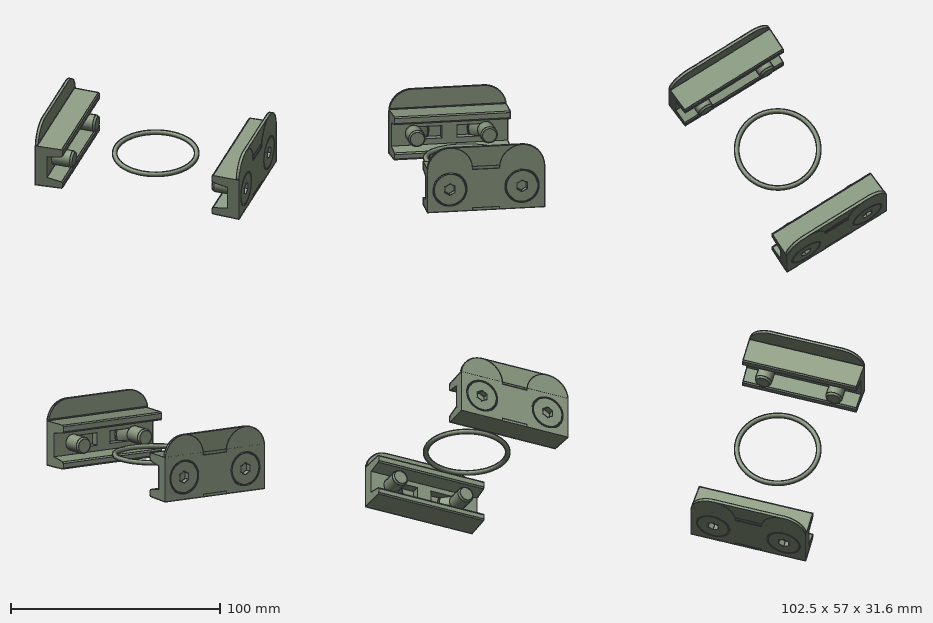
import cadquery as cq
import math

SPAN = 102.5
JAW_LENGTH = 57.0
JAW_TOP = 31.6

CHANNEL_HEIGHT = 21.7
CHANNEL_DEPTH = 13.7
WEB = 5.9
MOUTH_CENTER = CHANNEL_HEIGHT / 2
MOUTH_HALF_AT_WEB = 5.7
LIP_ANGLE = 10.0
LIP_CHAMFER = 0.6
DRAFT_START = 0.4
DRAFT_INSET = 0.36

FLANGE = 1.4
GROOVE_WALL = 0.6
GROOVE_RISE = FLANGE - GROOVE_WALL
CORNER_RADIUS = 11.0
LOBE_Y = JAW_LENGTH / 2 - CORNER_RADIUS
LOBE_Z = JAW_TOP - CORNER_RADIUS

RELIEF_WIDTH = 2 * (LOBE_Y - CORNER_RADIUS)
RELIEF_DEPTH = 0.3
RELIEF_LEDGE_DEPTH = 0.37
RELIEF_LEDGE = 20.4
FOOT_RELIEF_HEIGHT = 1.3
FOOT_RELIEF_DEPTH = 0.06

SCREW_HEIGHT = 11.0
SHANK_RADIUS = 8.0 / 2
HEAD_RADIUS = 15.3 / 2
SINK_RADIUS = 16.5 / 2
HEAD_RIM = WEB - (HEAD_RADIUS - SHANK_RADIUS)
SINK_RIM = WEB - (SINK_RADIUS - SHANK_RADIUS)
SCREW_TIP = 16.1
TIP_CHAMFER_LENGTH = 1.1
TIP_CHAMFER_INSET = 0.6
SOCKET_FLATS = 5.0
SOCKET_DEPTH = 3.1

RIB_WIDTH = 7.4
SLOT_HEIGHT = 6.2
SLOT_DEPTH = 4.1

RING_OUTER_DIAMETER = 41.5
RING_WIRE = 2.3


def channel_section():
    """C-shaped section with the flange and the V groove at the flange foot, extruded along Y."""
    lip_rise = (CHANNEL_DEPTH - WEB) * math.tan(math.radians(LIP_ANGLE))
    mouth_half = MOUTH_HALF_AT_WEB + lip_rise
    outline = [
        (0, 0),
        (DRAFT_START, 0),
        (CHANNEL_DEPTH, DRAFT_INSET),
        (CHANNEL_DEPTH, MOUTH_CENTER - mouth_half),
        (WEB, MOUTH_CENTER - MOUTH_HALF_AT_WEB),
        (WEB, MOUTH_CENTER + MOUTH_HALF_AT_WEB),
        (CHANNEL_DEPTH, MOUTH_CENTER + mouth_half),
        (CHANNEL_DEPTH, CHANNEL_HEIGHT),
        (GROOVE_WALL, CHANNEL_HEIGHT),
        (FLANGE, CHANNEL_HEIGHT + GROOVE_RISE),
        (FLANGE, JAW_TOP),
        (0, JAW_TOP),
    ]
    section = cq.Workplane("XZ").polyline(outline).close().extrude(JAW_LENGTH / 2, both=True)
    return section.edges("|Y").edges(">X").chamfer(LIP_CHAMFER)


def rounded_front():
    """Outer-face outline with rounded top corners, as deep as the channel."""
    return (
        cq.Workplane("XY")
        .box(CHANNEL_DEPTH, JAW_LENGTH, JAW_TOP, centered=(False, True, False))
        .edges("|X and >Z")
        .fillet(CORNER_RADIUS)
    )


def drafted_plan():
    """Plan outline whose ends taper slightly toward the channel mouth."""
    half = JAW_LENGTH / 2
    tip_half = half - DRAFT_INSET
    outline = [
        (0, -half),
        (DRAFT_START, -half),
        (CHANNEL_DEPTH, -tip_half),
        (CHANNEL_DEPTH, tip_half),
        (DRAFT_START, half),
        (0, half),
    ]
    return cq.Workplane("XY").polyline(outline).close().extrude(JAW_TOP)


def lobe_relief():
    """Wedge between the lobes: deepest at its lower ledge, running out at the flange top."""
    profile = [
        (0, RELIEF_LEDGE),
        (RELIEF_LEDGE_DEPTH, RELIEF_LEDGE),
        (RELIEF_DEPTH, CHANNEL_HEIGHT),
        (0, JAW_TOP),
    ]
    wedge = cq.Workplane("XZ").polyline(profile).close().extrude(LOBE_Y, both=True)
    for side in (-1, 1):
        lobe = (
            cq.Workplane("YZ")
            .center(side * LOBE_Y, LOBE_Z)
            .circle(CORNER_RADIUS)
            .extrude(RELIEF_LEDGE_DEPTH)
        )
        below_lobe = (
            cq.Workplane("XY")
            .box(RELIEF_LEDGE_DEPTH, 2 * CORNER_RADIUS, LOBE_Z, centered=(False, True, False))
            .translate((0, side * LOBE_Y, 0))
        )
        wedge = wedge.cut(lobe).cut(below_lobe)
    return wedge


def foot_relief():
    """Small wedge at the bottom edge, below the middle of the outer face."""
    return (
        cq.Workplane("XZ")
        .polyline([(0, 0), (FOOT_RELIEF_DEPTH, FOOT_RELIEF_HEIGHT), (0, FOOT_RELIEF_HEIGHT)])
        .close()
        .extrude(RELIEF_WIDTH / 2, both=True)
    )


def turned(profile, y):
    """Revolve an (x, radius) profile about the screw axis at the given y."""
    return (
        cq.Workplane("XY")
        .polyline(profile)
        .close()
        .revolve(360, (0, 0, 0), (1, 0, 0))
        .translate((0, y, SCREW_HEIGHT))
    )


def countersink(y):
    """Conical screw seat whose wide rim leaves a thin ring gap around the head."""
    profile = [
        (0, 0),
        (0, SINK_RADIUS),
        (SINK_RIM, SINK_RADIUS),
        (WEB, SHANK_RADIUS),
        (WEB, 0),
    ]
    return turned(profile, y)


def screw(y):
    """Countersunk screw with a chamfered tip and a hexagon socket."""
    profile = [
        (0, 0),
        (0, HEAD_RADIUS),
        (HEAD_RIM, HEAD_RADIUS),
        (WEB, SHANK_RADIUS),
        (SCREW_TIP - TIP_CHAMFER_LENGTH, SHANK_RADIUS),
        (SCREW_TIP, SHANK_RADIUS - TIP_CHAMFER_INSET),
        (SCREW_TIP, 0),
    ]
    across_corners = SOCKET_FLATS / math.cos(math.pi / 6)
    socket = (
        cq.Workplane("YZ")
        .center(y, SCREW_HEIGHT)
        .transformed(rotate=(0, 0, 90))
        .polygon(6, across_corners)
        .extrude(SOCKET_DEPTH)
    )
    return turned(profile, y).cut(socket)


def web_slot(side):
    """Slot in the inner face of the web, from the middle rib to the screw axis."""
    length = LOBE_Y - RIB_WIDTH / 2
    middle_y = side * (RIB_WIDTH / 2 + length / 2)
    return (
        cq.Workplane("XY")
        .box(SLOT_DEPTH, length, SLOT_HEIGHT)
        .translate((WEB - SLOT_DEPTH / 2, middle_y, SCREW_HEIGHT))
    )


def make_jaw():
    """One clamp jaw with its two screws, outer face at x = 0."""
    jaw = channel_section().intersect(rounded_front()).intersect(drafted_plan())
    jaw = jaw.cut(lobe_relief()).cut(foot_relief())
    for side in (-1, 1):
        screw_y = side * LOBE_Y
        jaw = jaw.cut(countersink(screw_y)).cut(web_slot(side)).union(screw(screw_y))
    return jaw


def make_ring():
    """Round-wire ring lying flat, level with the screw axes."""
    wire_radius = RING_WIRE / 2
    ring_radius = RING_OUTER_DIAMETER / 2 - wire_radius
    torus = cq.Solid.makeTorus(ring_radius, wire_radius)
    return cq.Workplane("XY").add(torus).translate((0, 0, SCREW_HEIGHT))


left_jaw = make_jaw().translate((-SPAN / 2, 0, 0))
jaws = [left_jaw, left_jaw.mirror("YZ")]
ring = make_ring()

result = cq.Compound.makeCompound([*[jaw.val() for jaw in jaws], ring.val()])